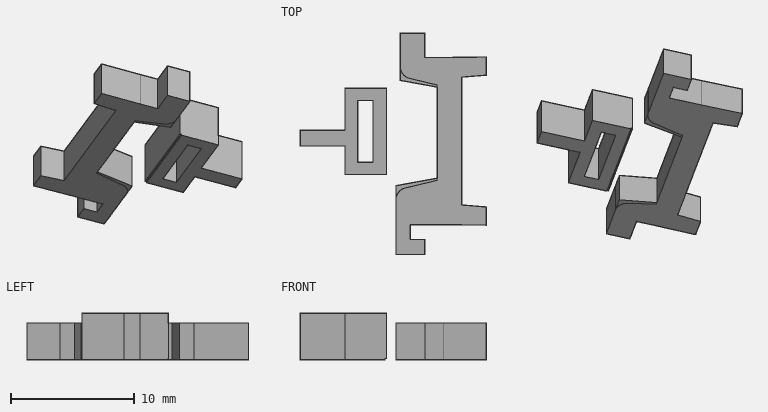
import cadquery as cq
import math


BRACKET_HEIGHT = 3.0
BAR_WIDTH = 2.0
ARM_END_X = 4.0
ARM_OUTER_Y = 6.8
ARM_TIP_OUTER_Y = 6.84
ARM_FLARE_X = 0.52
BAR_END_Y = 5.18
ARM_TIP_INNER_Y = 5.35

UPPER_LEFT_X = -3.0
LOWER_LEFT_X = -3.37
HOOK_END_X = -1.0
UPPER_HOOK_Y = 8.77
LOWER_HOOK_Y = -9.23
LOWER_HOOK_INNER_X = -2.18
LOWER_FINGER_Y = -8.0

MOUTH_CENTER_Y = 0.68
MOUTH_HALF_WIDTH = 3.69
MOUTH_ANGLE = 10.3
PAD_ROOT_THICKNESS = 0.18
PAD_SEAT_ANGLE = 13.5
PAD_SEAT_RADIUS = 1.0

SLIDER_HEIGHT = 3.8
BLOCK_LEFT_X = -7.5
BLOCK_RIGHT_X = -4.1
BLOCK_LENGTH = 7.04
BLOCK_CENTER_Y = 0.8
SLOT_LEFT_X = -6.45
SLOT_WIDTH = 1.2
SLOT_LENGTH = 4.99
TONGUE_END_X = -11.15
TONGUE_WIDTH = 1.3
TONGUE_CENTER_Y = 0.23
STEP_DEPTH = 0.13
STEP_HEIGHT = 0.09


def mouth_half_width(x):
    return MOUTH_HALF_WIDTH - x * math.tan(math.radians(MOUTH_ANGLE))


def seat_half_width(x):
    seat_slope = math.tan(math.radians(PAD_SEAT_ANGLE))
    return MOUTH_HALF_WIDTH + PAD_ROOT_THICKNESS - x * seat_slope


def box(x_min, x_max, center_y, length_y, height):
    return (
        cq.Workplane("XY")
        .center((x_min + x_max) / 2, center_y)
        .rect(x_max - x_min, length_y)
        .extrude(height)
    )


def make_pad(left_x, side):
    """Pad on one mouth face; side is +1 for the upper face and -1 for the lower one."""
    slope = math.radians(PAD_SEAT_ANGLE)
    corner = seat_half_width(left_x)
    center_x = left_x + PAD_SEAT_RADIUS
    setback = PAD_SEAT_RADIUS * math.tan(math.pi / 4 - slope / 2)
    arc_end_x = left_x + setback * math.cos(slope)
    center_y = corner + setback
    arc_mid_angle = math.pi * 5 / 4 - slope / 2

    def place(x, half_width):
        return (x, MOUTH_CENTER_Y + side * half_width)

    arc_mid = place(
        center_x + PAD_SEAT_RADIUS * math.cos(arc_mid_angle),
        center_y + PAD_SEAT_RADIUS * math.sin(arc_mid_angle),
    )
    return (
        cq.Workplane("XY")
        .moveTo(*place(0, mouth_half_width(0)))
        .lineTo(*place(0, seat_half_width(0)))
        .lineTo(*place(arc_end_x, seat_half_width(arc_end_x)))
        .threePointArc(arc_mid, place(left_x, center_y))
        .lineTo(*place(left_x, mouth_half_width(left_x)))
        .close()
        .extrude(BRACKET_HEIGHT)
    )


def make_bracket(pads):
    outline = [
        (0, MOUTH_CENTER_Y + mouth_half_width(0)),
        (UPPER_LEFT_X, MOUTH_CENTER_Y + mouth_half_width(UPPER_LEFT_X)),
        (UPPER_LEFT_X, UPPER_HOOK_Y),
        (HOOK_END_X, UPPER_HOOK_Y),
        (HOOK_END_X, ARM_OUTER_Y),
        (ARM_FLARE_X, ARM_OUTER_Y),
        (ARM_END_X, ARM_TIP_OUTER_Y),
        (ARM_END_X, ARM_TIP_INNER_Y),
        (BAR_WIDTH, BAR_END_Y),
        (BAR_WIDTH, -BAR_END_Y),
        (ARM_END_X, -ARM_TIP_INNER_Y),
        (ARM_END_X, -ARM_TIP_OUTER_Y),
        (ARM_FLARE_X, -ARM_OUTER_Y),
        (LOWER_HOOK_INNER_X, -ARM_OUTER_Y),
        (LOWER_HOOK_INNER_X, LOWER_FINGER_Y),
        (HOOK_END_X, LOWER_FINGER_Y),
        (HOOK_END_X, LOWER_HOOK_Y),
        (LOWER_LEFT_X, LOWER_HOOK_Y),
        (LOWER_LEFT_X, MOUTH_CENTER_Y - mouth_half_width(LOWER_LEFT_X)),
        (0, MOUTH_CENTER_Y - mouth_half_width(0)),
    ]
    bracket = cq.Workplane("XY").polyline(outline).close().extrude(BRACKET_HEIGHT)
    for pad in pads:
        bracket = bracket.cut(pad)
    return bracket


def make_slider():
    block = box(BLOCK_LEFT_X, BLOCK_RIGHT_X, BLOCK_CENTER_Y, BLOCK_LENGTH, SLIDER_HEIGHT)
    tongue = box(TONGUE_END_X, BLOCK_LEFT_X, TONGUE_CENTER_Y, TONGUE_WIDTH, SLIDER_HEIGHT)
    slot = box(SLOT_LEFT_X, SLOT_LEFT_X + SLOT_WIDTH, BLOCK_CENTER_Y, SLOT_LENGTH, SLIDER_HEIGHT)
    step = box(BLOCK_RIGHT_X - STEP_DEPTH, BLOCK_RIGHT_X, BLOCK_CENTER_Y, BLOCK_LENGTH, STEP_HEIGHT)
    return block.union(tongue).cut(slot).cut(step)


pads = [make_pad(left_x, side) for left_x, side in ((UPPER_LEFT_X, 1), (LOWER_LEFT_X, -1))]
bracket = make_bracket(pads)
slider = make_slider()

result = cq.Compound.makeCompound([slider.val(), bracket.val(), *[pad.val() for pad in pads]])